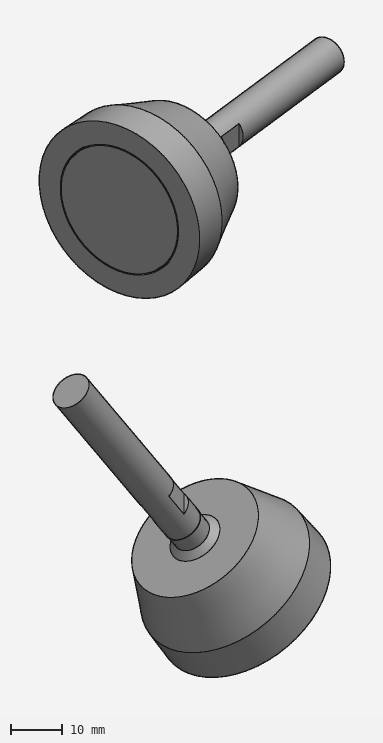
import cadquery as cq

base_diameter = 38.0
shoulder_diameter = 37.4
foot_top_diameter = 28.0
shoulder_height = 8.0
foot_height = 20.0

groove_outer_diameter = 28.0
groove_inner_diameter = 27.5
groove_depth = 1.0

total_length = 70.0
shank_diameter = 8.0
neck_diameter = 7.8
collar_diameter = 11.0
collar_height = 1.25
collar_top = foot_height + collar_height
neck_top = 25.0

flat_start = 29.95
flat_length = 6.0
across_flats = 6.0


def revolve_about_y(profile):
    """Turn (radius, height) points into a solid of revolution about Y."""
    return cq.Workplane("XY").polyline(profile).close().revolve(360, (0, 0), (0, 1))


def make_foot():
    foot = revolve_about_y([
        (0, 0),
        (base_diameter / 2, 0),
        (shoulder_diameter / 2, shoulder_height),
        (foot_top_diameter / 2, foot_height),
        (0, foot_height),
    ])
    groove = revolve_about_y([
        (groove_inner_diameter / 2, 0),
        (groove_outer_diameter / 2, 0),
        (groove_outer_diameter / 2, groove_depth),
        (groove_inner_diameter / 2, groove_depth),
    ])
    return foot.cut(groove)


def make_stud():
    stud = revolve_about_y([
        (0, foot_height),
        (collar_diameter / 2, foot_height),
        (neck_diameter / 2, collar_top),
        (neck_diameter / 2, neck_top),
        (shank_diameter / 2, neck_top),
        (shank_diameter / 2, total_length),
        (0, total_length),
    ])
    cutter_offset = (across_flats + shank_diameter) / 2
    for side in (-1, 1):
        cutter = cq.Workplane("XY").box(shank_diameter, flat_length, shank_diameter).translate(
            (side * cutter_offset, flat_start + flat_length / 2, 0)
        )
        stud = stud.cut(cutter)
    return stud


foot = make_foot()
stud = make_stud()

result = cq.Compound.makeCompound([foot.val(), stud.val()])